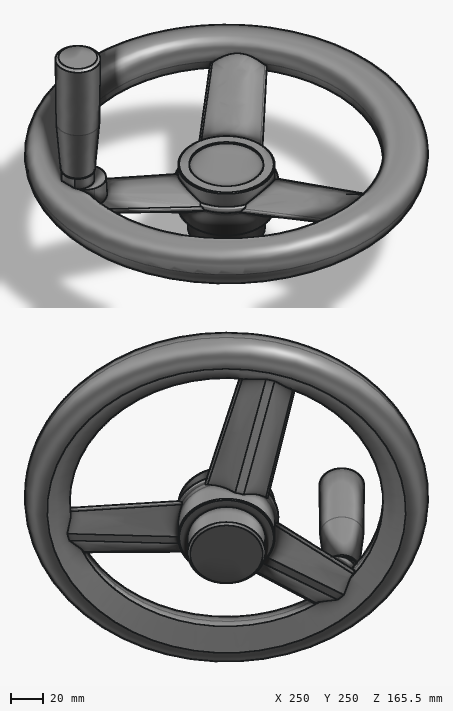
import cadquery as cq
outer_radius = 125.0
rim_tube_radius = 14.0
rim_radius = outer_radius - rim_tube_radius
rim_height = 58.0
rim_inner_radius = rim_radius - rim_tube_radius
rim_inner_face = 5.2

foot_radius = 24.0
foot_chamfer = 1.5
hub_radius = 30.0
hub_bottom = 16.7
hub_top = 50.2
hub_edge_chamfer = 0.7
recess_radius = 23.0
recess_depth = 1.2

bead_radius = 32.2
bead_foot_radius = 31.0
bead_top = 39.5
bead_middle = 37.5
bead_foot = 35.5
bead_flare = (30.2, 34.5)
bead_bottom = 33.2

spoke_count = 3
spoke_inner = 20.0
spoke_outer = rim_radius - 5.0
keel_half_width = 2.7
edge_round = 1.5
crown_rise = 5.5
half_width_at_hub = 20.0
half_width_slope = -0.035
edge_height_at_hub = 37.7
edge_slope = 0.27
keel_height_at_hub = 24.0
keel_slope = 0.367

boss_radius = 14.0
boss_offset = rim_inner_radius
boss_draft = 3
boss_bottom = rim_height - 5.0
boss_top = 71.2

handle_offset = 102.0
stem_radius = 10.2
stem_across_flats = 17.5
flat_angle = -68.5
grip_bottom = 79.0
grip_bottom_chamfer = 1.0
grip_bend = 115.2
grip_top = 165.5
grip_bottom_radius = 10.7
grip_bend_radius = 13.5
grip_top_radius = 14.0
grip_cap_radius = 12.0
grip_cap_height = 1.5


def make_rim():
    return (
        cq.Workplane("XZ")
        .moveTo(rim_inner_radius, rim_height)
        .threePointArc((rim_radius, rim_height + rim_tube_radius), (outer_radius, rim_height))
        .radiusArc((rim_radius, rim_height - rim_tube_radius), rim_tube_radius)
        .lineTo(rim_inner_radius, rim_height - rim_inner_face)
        .close()
        .revolve(360, (0, 0), (0, 1))
    )


def make_hub():
    foot = cq.Workplane("XY").circle(foot_radius).extrude(hub_bottom)
    foot = foot.faces("<Z").chamfer(foot_chamfer)
    body = cq.Workplane("XY").workplane(offset=hub_bottom).circle(hub_radius).extrude(hub_top - hub_bottom)
    body = body.faces("<Z or >Z").chamfer(hub_edge_chamfer)
    recess = cq.Workplane("XY").workplane(offset=hub_top - recess_depth)
    recess = recess.circle(recess_radius).extrude(recess_depth)
    bead = (
        cq.Workplane("XZ")
        .moveTo(foot_radius, bead_top)
        .lineTo(hub_radius, bead_top)
        .threePointArc((bead_radius, bead_middle), (bead_foot_radius, bead_foot))
        .threePointArc(bead_flare, (hub_radius, bead_bottom))
        .lineTo(foot_radius, bead_bottom)
        .close()
        .revolve(360, (0, 0), (0, 1))
    )
    return foot.union(body).cut(recess).union(bead)


def spoke_section(distance):
    """Closed cross-section of the -Y spoke at a distance from the hub axis."""
    beyond_hub = distance - hub_radius
    half_width = half_width_at_hub + half_width_slope * beyond_hub
    edge_height = edge_height_at_hub + edge_slope * beyond_hub
    keel_height = keel_height_at_hub + keel_slope * beyond_hub
    edge_start = half_width - edge_round
    upper = edge_height + edge_round
    lower = edge_height - edge_round
    section = (
        cq.Workplane("XZ", origin=(0, -distance, 0))
        .moveTo(-keel_half_width, keel_height)
        .lineTo(keel_half_width, keel_height)
        .lineTo(edge_start, lower)
        .threePointArc((half_width, edge_height), (edge_start, upper))
        .threePointArc((0, upper + crown_rise), (-edge_start, upper))
        .threePointArc((-half_width, edge_height), (-edge_start, lower))
        .close()
    )
    return section.val()


def make_spoke():
    sections = [spoke_section(spoke_inner), spoke_section(spoke_outer)]
    return cq.Workplane(cq.Solid.makeLoft(sections, True))


def make_boss():
    boss = cq.Workplane("XY", origin=(0, -boss_offset, boss_bottom))
    return boss.circle(boss_radius).extrude(boss_top - boss_bottom, taper=boss_draft)


def make_handle():
    stem = cq.Workplane("XY").workplane(offset=rim_height).circle(stem_radius).extrude(grip_bottom - rim_height)
    flats = cq.Workplane("XY").workplane(offset=boss_top)
    flats = flats.rect(stem_across_flats, 2 * stem_radius).extrude(grip_bottom - boss_top)
    flats = flats.rotate((0, 0, 0), (0, 0, 1), flat_angle)
    root = cq.Workplane("XY").workplane(offset=rim_height).circle(stem_radius).extrude(boss_top - rim_height)
    stem = stem.intersect(flats).union(root)
    grip = (
        cq.Workplane("XZ")
        .moveTo(0, grip_bottom)
        .lineTo(stem_radius, grip_bottom)
        .lineTo(grip_bottom_radius, grip_bottom + grip_bottom_chamfer)
        .lineTo(grip_bend_radius, grip_bend)
        .lineTo(grip_top_radius, grip_top - grip_cap_height)
        .lineTo(grip_cap_radius, grip_top)
        .lineTo(0, grip_top)
        .close()
        .revolve(360, (0, 0), (0, 1))
    )
    return stem.union(grip).translate((0, -handle_offset, 0))


result = make_hub()
spoke = make_spoke()
for index in range(spoke_count):
    result = result.union(spoke.rotate((0, 0, 0), (0, 0, 1), index * 360 / spoke_count))

for piece in (make_rim(), make_boss(), make_handle()):
    result = result.union(piece, clean=False)